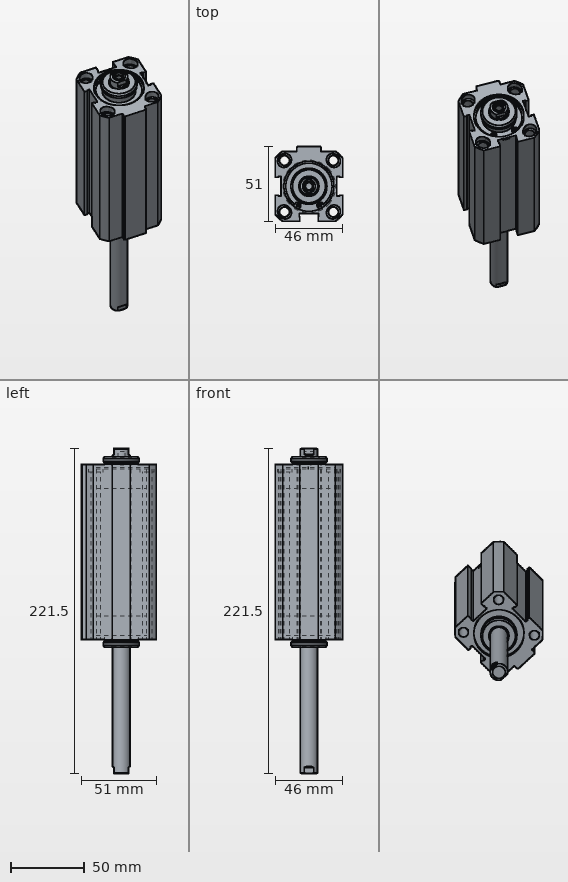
import cadquery as cq

rod_length = 221.5
rod_top_reach = 5.8
collar_height = 5.3
housing_length = 119.2
housing_top = rod_length - rod_top_reach - collar_height
housing_bottom = housing_top - housing_length

housing_width = 46.0
housing_back = 23.7
housing_front = 24.0
corner_radius = 30.0
rail_width = 16.6
rail_top = 27.0
rail_chamfer = 0.7
side_slot_depth = 4.0
side_mouth_width = 12.0
side_inner_width = 13.0
side_lip_thickness = 2.2
front_slot_depth = 5.3
front_mouth_width = 12.5
front_inner_width = 12.8
front_lip_thickness = 3.3

bore_diameter = 34.1
groove_diameter = 35.9
bolt_spacing_x = 33.2
bolt_spacing_y = 35.0
bolt_hole_diameter = 6.6
bolt_pocket_diameter = 8.6
bolt_pocket_stretch = 1.3
bolt_pocket_depth = 5.0

ring_sink = 2.0
ring_thickness = 1.0
ring_inner_diameter = 31.5
lug_diameter = 4.2
lug_hole_diameter = 1.6
lug_x = 7.5
lug_y = -12.8

cover_sink = ring_sink + ring_thickness
cover_plug_length = 13.3
neck_diameter = 23.0
flange_diameter = 24.5
flange_start = 2.0
flange_end = 4.0
flange_undercut = (flange_diameter - neck_diameter) / 2
collar_face_diameter = 22.4
cover_recess_diameter = 13.7
cover_recess_depth = 0.9

rod_diameter = 12.0
rod_face_diameter = 8.6
rod_chamfer_height = 0.7
flats_across = 10.0
flat_length = 4.2
socket_diameter = 6.2
socket_depth = 2.2
pilot_diameter = 4.9
pilot_depth = 11.0
pilot_tip_length = 0.2


def revolve_about_z(half_section):
    """Full turn of a closed outline of (radius, height) points."""
    return cq.Workplane("XZ").polyline(half_section).close().revolve(360, (0, 0), (0, 1))


def make_housing():
    half_width = housing_width / 2
    blank = cq.Workplane("XY").box(
        housing_width, housing_front + housing_back, housing_length, centered=(True, False, False)
    ).translate((0, -housing_front, 0))
    round_bar = cq.Workplane("XY").circle(corner_radius).extrude(housing_length)
    body = blank.intersect(round_bar)

    rail = (
        cq.Workplane("XY")
        .box(rail_width, rail_top, housing_length, centered=(True, False, False))
        .edges("|Z and >Y")
        .chamfer(rail_chamfer)
    )
    body = body.union(rail)

    body = body.cut(
        make_slot(front_mouth_width, front_lip_thickness, front_inner_width, front_slot_depth)
        .translate((0, -housing_front, 0))
    )
    side_slot = make_slot(side_mouth_width, side_lip_thickness, side_inner_width, side_slot_depth)
    for turn, face_x in ((-90, -half_width), (90, half_width)):
        body = body.cut(side_slot.rotate((0, 0, 0), (0, 0, 1), turn).translate((face_x, 0, 0)))

    body = body.cut(cq.Workplane("XY").circle(bore_diameter / 2).extrude(housing_length))
    groove = cq.Workplane("XY").circle(groove_diameter / 2).extrude(ring_thickness)
    body = body.cut(groove.translate((0, 0, housing_length - cover_sink)))

    for side_x in (-1, 1):
        for side_y in (-1, 1):
            body = body.cut(make_bolt_hole(side_x, side_y))
    return body.translate((0, 0, housing_bottom))


def make_slot(mouth_width, lip_thickness, inner_width, depth):
    """Full-length slot going from Y = 0 into +Y, with a lip at each side of its mouth."""
    mouth = cq.Workplane("XY").box(mouth_width, depth, housing_length, centered=(True, False, False))
    inner = cq.Workplane("XY").box(
        inner_width, depth - lip_thickness, housing_length, centered=(True, False, False)
    )
    return mouth.union(inner.translate((0, lip_thickness, 0)))


def make_bolt_hole(side_x, side_y):
    """Through hole with a stretched pocket lying across the diagonal of the housing."""
    hole = cq.Workplane("XY").circle(bolt_hole_diameter / 2).extrude(housing_length)
    pocket_length = bolt_pocket_diameter + bolt_pocket_stretch
    pocket_angle = -45 * side_x * side_y
    pocket = (
        cq.Workplane("XY", origin=(0, 0, housing_length - bolt_pocket_depth))
        .slot2D(pocket_length, bolt_pocket_diameter, pocket_angle)
        .extrude(bolt_pocket_depth)
    )
    centre = (side_x * bolt_spacing_x / 2, side_y * bolt_spacing_y / 2, 0)
    return hole.union(pocket).translate(centre)


def make_ring():
    band = (
        cq.Workplane("XY")
        .circle(groove_diameter / 2)
        .circle(ring_inner_diameter / 2)
        .extrude(ring_thickness)
    )
    reach = groove_diameter / 2
    gap_x = reach * lug_x / abs(lug_y)
    gap = cq.Workplane("XY").polyline([(0, 0), (-gap_x, -reach), (gap_x, -reach)]).close()
    lug_centres = [(-lug_x, lug_y), (lug_x, lug_y)]
    lugs = cq.Workplane("XY").pushPoints(lug_centres).circle(lug_diameter / 2).extrude(ring_thickness)
    lug_holes = (
        cq.Workplane("XY").pushPoints(lug_centres).circle(lug_hole_diameter / 2).extrude(ring_thickness)
    )
    ring = band.cut(gap.extrude(ring_thickness)).union(lugs).cut(lug_holes)
    return ring.translate((0, 0, housing_top - cover_sink))


def make_cover():
    """Rod cover whose collar points up; Z = 0 is the housing face."""
    plug_bottom = -cover_sink - cover_plug_length
    half_section = [
        (rod_diameter / 2, plug_bottom),
        (bore_diameter / 2, plug_bottom),
        (bore_diameter / 2, -cover_sink),
        (neck_diameter / 2, -cover_sink),
        (neck_diameter / 2, flange_start - flange_undercut),
        (flange_diameter / 2, flange_start),
        (flange_diameter / 2, flange_end),
        (collar_face_diameter / 2, collar_height),
        (cover_recess_diameter / 2, collar_height),
        (cover_recess_diameter / 2, collar_height - cover_recess_depth),
        (rod_diameter / 2, collar_height - cover_recess_depth),
    ]
    return revolve_about_z(half_section)


def make_rod():
    half_section = [
        (0, 0),
        (rod_face_diameter / 2, 0),
        (rod_diameter / 2, rod_chamfer_height),
        (rod_diameter / 2, rod_length - rod_chamfer_height),
        (rod_face_diameter / 2, rod_length),
        (0, rod_length),
    ]
    rod = revolve_about_z(half_section)
    flat_cuts = make_flat_cuts()
    rod = rod.cut(flat_cuts)
    rod = rod.cut(flat_cuts.mirror("XY").translate((0, 0, rod_length)))
    return rod.cut(make_socket())


def make_flat_cuts():
    """Two wrench flats at the lower rod end, each running out to the round surface at 45 degrees."""
    flat = flats_across / 2
    outside = rod_diameter
    section = [
        (flat, 0),
        (outside, 0),
        (outside, flat_length + outside - flat),
        (flat, flat_length),
    ]
    cut = cq.Workplane("YZ").polyline(section).close().extrude(rod_diameter, both=True)
    return cut.union(cut.mirror("XZ"))


def make_socket():
    """Stepped hole with a shallow conical bottom in the upper rod end."""
    half_section = [
        (0, rod_length),
        (socket_diameter / 2, rod_length),
        (socket_diameter / 2, rod_length - socket_depth),
        (pilot_diameter / 2, rod_length - socket_depth),
        (pilot_diameter / 2, rod_length - pilot_depth),
        (0, rod_length - pilot_depth - pilot_tip_length),
    ]
    return revolve_about_z(half_section)


housing = make_housing()
retaining_ring = make_ring()
rod = make_rod()
covers = []
for face_height, points_up in ((housing_top, True), (housing_bottom, False)):
    cover = make_cover() if points_up else make_cover().mirror("XY")
    covers.append(cover.translate((0, 0, face_height)))

result = cq.Compound.makeCompound(
    [housing.val(), *[cover.val() for cover in covers], retaining_ring.val(), rod.val()]
)